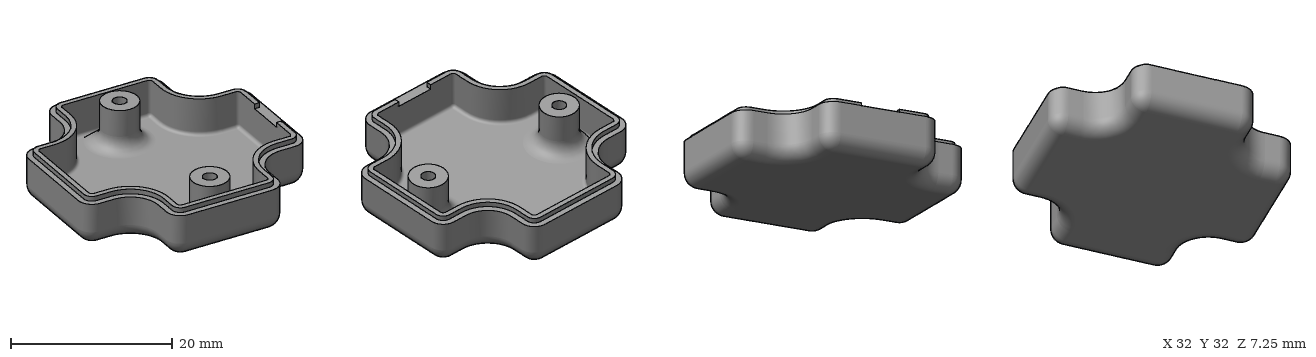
import cadquery as cq
import math

span = 32.0
arm_width = 16.0
corner_radius = 2.0
notch_radius = 4.0
wall = 1.5
rim_height = 6.0

lip_inset = 0.8
lip_height = 0.67
lip_gap = 5.35

post_height = 7.25
post_offset = 11.0
post_diameter = 5.0
post_hole_diameter = 1.85
post_foot_radius = 2.0

lip_top = rim_height + lip_height


def cross_prism(inset, bottom, top):
    """Upright prism of the cross outline, shrunk all round by the inset."""
    tip = span / 2 - inset
    half_arm = arm_width / 2 - inset
    corner = corner_radius - inset
    notch = notch_radius + inset
    notch_centre = arm_width / 2 + notch_radius
    outline = cq.Workplane("XY").workplane(offset=bottom).moveTo(tip, corner - half_arm)

    for quarter in range(4):
        turn = math.radians(90 * quarter)

        def turned(x, y):
            return (x * math.cos(turn) - y * math.sin(turn), x * math.sin(turn) + y * math.cos(turn))

        def arc_middle(centre_x, centre_y, radius):
            reach = radius * math.sqrt(0.5)
            return turned(centre_x + reach, centre_y + reach)

        outline = (
            outline.lineTo(*turned(tip, half_arm - corner))
            .threePointArc(
                arc_middle(tip - corner, half_arm - corner, corner),
                turned(tip - corner, half_arm),
            )
            .lineTo(*turned(notch_centre, half_arm))
            .threePointArc(
                arc_middle(notch_centre, notch_centre, -notch),
                turned(half_arm, notch_centre),
            )
            .lineTo(*turned(half_arm, tip - corner))
            .threePointArc(
                arc_middle(half_arm - corner, tip - corner, corner),
                turned(half_arm - corner, tip),
            )
        )
    return outline.close().extrude(top - bottom)


def make_tray():
    body = cross_prism(0, 0, rim_height).faces("<Z").edges().fillet(corner_radius)
    lip = cross_prism(lip_inset, rim_height, lip_top)
    cavity = cross_prism(wall, wall, lip_top).faces("<Z").edges().fillet(corner_radius - wall)
    return body.union(lip).cut(cavity)


def make_lip_gap():
    return (
        cq.Workplane("XY")
        .workplane(offset=rim_height)
        .center(0, span / 2 - wall / 2)
        .rect(lip_gap, wall)
        .extrude(lip_height)
    )


def make_post(x):
    """Solid post standing on the floor, with a concave flared foot."""
    radius = post_diameter / 2
    foot_top = wall + post_foot_radius
    foot_edge = radius + post_foot_radius
    arc_reach = post_foot_radius * math.sqrt(0.5)
    profile = (
        cq.Workplane("XZ")
        .moveTo(0, wall)
        .lineTo(foot_edge, wall)
        .threePointArc((foot_edge - arc_reach, foot_top - arc_reach), (radius, foot_top))
        .lineTo(radius, post_height)
        .lineTo(0, post_height)
        .close()
    )
    return profile.revolve(360, (0, 0, 0), (0, 1, 0)).translate((x, 0, 0))


def make_post_hole(x):
    """Blind hole from the top of a post down to the floor."""
    return (
        cq.Workplane("XY")
        .workplane(offset=wall)
        .center(x, 0)
        .circle(post_hole_diameter / 2)
        .extrude(post_height - wall)
    )


result = make_tray().cut(make_lip_gap())
for post_x in (-post_offset, post_offset):
    result = result.union(make_post(post_x)).cut(make_post_hole(post_x))